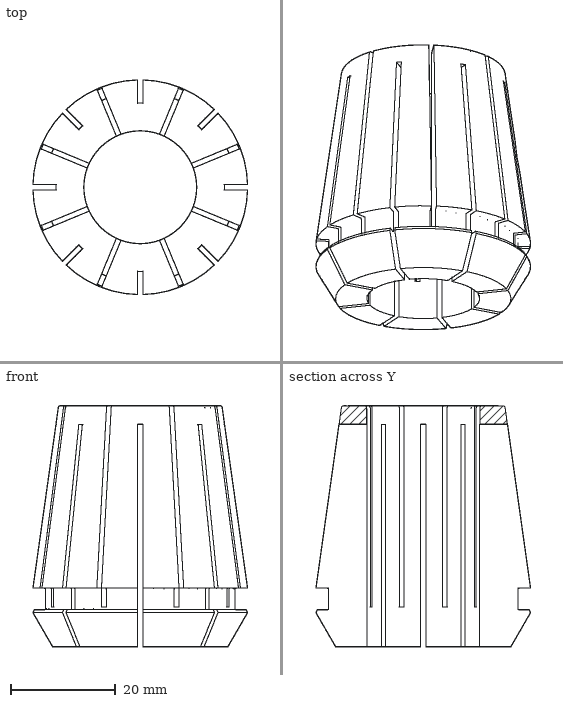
import cadquery as cq
import math

total_height = 46.0
outer_diameter = 41.0
bore_diameter = 21.5

taper_angle = 8.0
taper_bottom_z = 11.2
top_fillet = 0.5

neck_diameter = 36.2
neck_fillet = 0.2
flange_top_z = 7.1
flange_chamfer_drop = 0.55
flange_chamfer_inset = 0.28
nose_angle = 30.0

slots_per_set = 8
slot_width = 0.95
bottom_slot_end_z = 42.4
top_slot_end_z = 7.6

outer_radius = outer_diameter / 2
bore_radius = bore_diameter / 2
neck_radius = neck_diameter / 2
slot_pitch = 360 / slots_per_set


def circle_at(radius, z):
    """Selector for the round edges of a given radius at height z."""
    margin = 0.05
    reach = radius + margin
    return cq.selectors.BoxSelector(
        (-reach, -reach, z - margin), (reach, reach, z + margin), boundingbox=True
    )


def make_body():
    """Revolved collet body with its bore, neck groove and edge breaks."""
    flange_edge_z = flange_top_z - flange_chamfer_drop
    nose_radius = outer_radius - flange_edge_z * math.tan(math.radians(nose_angle))
    taper_height = total_height - taper_bottom_z
    top_radius = outer_radius - taper_height * math.tan(math.radians(taper_angle))
    profile = [
        (bore_radius, 0),
        (nose_radius, 0),
        (outer_radius, flange_edge_z),
        (outer_radius - flange_chamfer_inset, flange_top_z),
        (neck_radius, flange_top_z),
        (neck_radius, taper_bottom_z),
        (outer_radius, taper_bottom_z),
        (top_radius, total_height),
        (bore_radius, total_height),
    ]
    body = cq.Workplane("XZ").polyline(profile).close().revolve(360, (0, 0), (0, 1))
    body = body.faces(">Z").edges().fillet(top_fillet)
    for corner_z in (flange_top_z, taper_bottom_z):
        body = body.edges(circle_at(neck_radius, corner_z)).fillet(neck_fillet)
    return body


def cut_slots(body, start_z, end_z, first_angle):
    """Cut one set of radial slots through the wall between two heights."""
    slot = (
        cq.Workplane("XY", origin=(outer_radius, 0, start_z))
        .rect(outer_diameter, slot_width)
        .extrude(end_z - start_z)
    )
    for index in range(slots_per_set):
        angle = first_angle + index * slot_pitch
        body = body.cut(slot.rotate((0, 0, 0), (0, 0, 1), angle))
    return body


result = make_body()
result = cut_slots(result, 0, bottom_slot_end_z, 0)
result = cut_slots(result, top_slot_end_z, total_height, slot_pitch / 2)